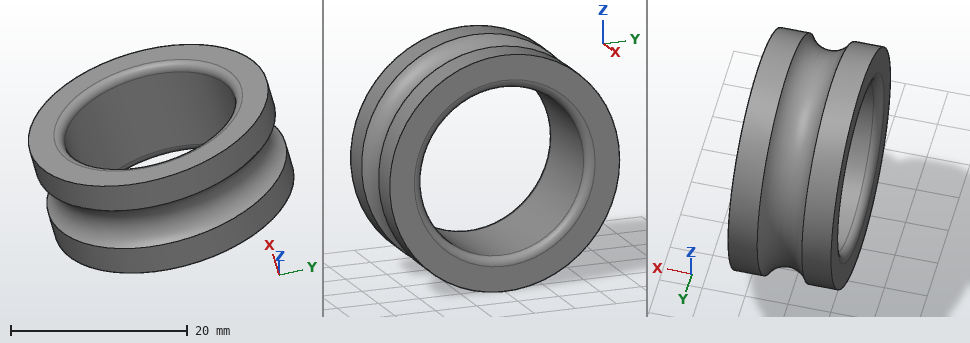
import cadquery as cq

outer_diameter = 28.0
bore_diameter = 20.0
width = 12.0
bore_edge_radius = 1.0
groove_radius = 3.0
groove_depth = 1.5

groove_center_radius = outer_diameter / 2 - groove_depth + groove_radius


def make_ring():
    """Plain ring along X, centred on the origin, with both bore edges rounded."""
    ring = (
        cq.Workplane("YZ")
        .circle(outer_diameter / 2)
        .circle(bore_diameter / 2)
        .extrude(width / 2, both=True)
    )
    bore_edges = ring.edges(cq.selectors.RadiusNthSelector(0))
    return bore_edges.fillet(bore_edge_radius)


def make_groove_cutter():
    """Torus around X that cuts the round groove at mid-width."""
    return (
        cq.Workplane("XY")
        .center(0, groove_center_radius)
        .circle(groove_radius)
        .revolve(360, (0, -groove_center_radius), (1, -groove_center_radius))
    )


result = make_ring().cut(make_groove_cutter())